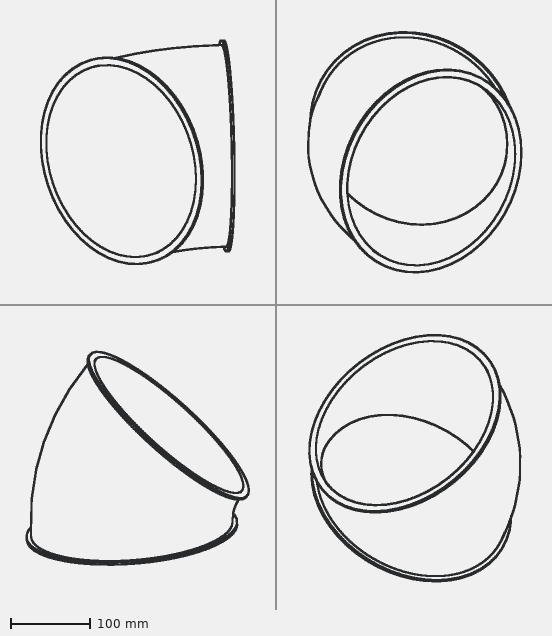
import cadquery as cq
import math

flange_diameter = 267.0
flange_thickness = 3.0
tube_diameter = 255.5
wall = 3.5
bore_diameter = tube_diameter - 2 * wall
bend_angle = 45
bend_radius = 195.0

angle = math.radians(bend_angle)
inlet = cq.Plane(origin=(0, 0, 0), xDir=(1, 0, 0), normal=(0, 1, 0))
outlet = cq.Plane(
    origin=(bend_radius * (1 - math.cos(angle)), bend_radius * math.sin(angle), 0),
    xDir=(0, 0, 1),
    normal=(-math.sin(angle), -math.cos(angle), 0),
)


def bent_cylinder(diameter):
    """Solid elbow of the given diameter between the two end planes."""
    section = cq.Workplane(inlet).circle(diameter / 2)
    return section.revolve(bend_angle, (bend_radius, 0, 0), (bend_radius, 1, 0))


def flange(plane):
    """Flat disc running inwards from an end plane."""
    return cq.Workplane(plane).circle(flange_diameter / 2).extrude(flange_thickness)


outside = bent_cylinder(tube_diameter).union(flange(inlet)).union(flange(outlet))
result = outside.cut(bent_cylinder(bore_diameter))